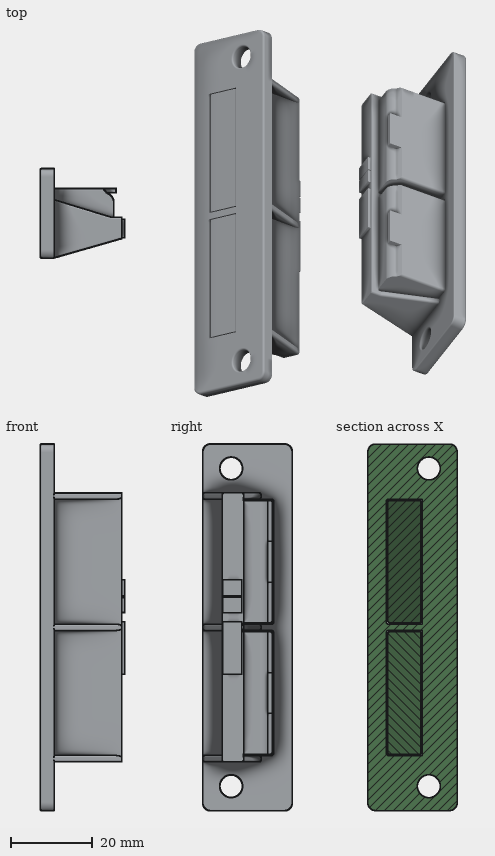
import cadquery as cq

plate_thickness = 3.5
plate_width = 22.0
plate_height = 89.86
plate_corner_radius = 2.0
plate_front_fillet = 0.5
plate_rear_fillet = 0.3

screw_hole_diameter = 5.5
screw_hole_y = -4.0
screw_hole_z = 38.9
screw_hole_edge_fillet = 0.4

bay_pitch = 32.15
rib_thickness = 1.6
rib_edge_fillet = 0.5
bay_rear_x = 20.0
bay_wall_y = -6.2
bay_rear_top_y = -0.95
rib_root_low_y = -plate_width / 2
rib_root_high_y = 3.4
rib_slope_end_x = 17.4

opening_gap = 0.25
opening_length = bay_pitch - rib_thickness
insert_length = opening_length - 2 * opening_gap
insert_low_y = -2.05
insert_high_y = 6.13
insert_rear_x = 18.05
insert_round_start = (insert_rear_x, 3.1)
insert_round_middle = (17.5, 4.2)
insert_round_end = (16.3, 5.0)
insert_high_end_x = 15.4
insert_corner_radius = 0.6
insert_front_chamfer = 0.7

lip_front_x = 14.8
lip_rear_x = 18.6
lip_low_y = 5.0
lip_length = 10.0

pad_height = 0.77
pad_low_y = -6.03
pad_high_y = -1.4
pad_spans = [(7.7, 11.7), (3.6, 7.35), (-11.5, 1.4)]

bay_centres = [-bay_pitch / 2, bay_pitch / 2]
rib_centres = [-bay_pitch, 0, bay_pitch]


def block(x_range, y_range, z_range):
    """Box spanning the given (low, high) ranges along X, Y and Z."""
    sizes = [high - low for low, high in (x_range, y_range, z_range)]
    corner = (x_range[0], y_range[0], z_range[0])
    return cq.Workplane("XY").box(*sizes, centered=False).translate(corner)


def make_plate():
    """Face plate with rounded corners and softened front and rear rims."""
    plate = (
        cq.Workplane("YZ")
        .rect(plate_width, plate_height)
        .extrude(plate_thickness)
        .edges("|X")
        .fillet(plate_corner_radius)
    )
    plate = plate.faces("<X").edges().fillet(plate_front_fillet)
    return plate.faces(">X").edges().fillet(plate_rear_fillet)


def cut_screw_holes(plate):
    """Two through holes with rounded edges on both faces of the plate."""
    centres = [(screw_hole_y, -screw_hole_z), (screw_hole_y, screw_hole_z)]
    drills = (
        cq.Workplane("YZ")
        .pushPoints(centres)
        .circle(screw_hole_diameter / 2)
        .extrude(plate_thickness)
    )
    plate = plate.cut(drills)
    for y, z in centres:
        near_hole = cq.selectors.BoxSelector(
            (-plate_thickness, y - screw_hole_diameter, z - screw_hole_diameter),
            (2 * plate_thickness, y + screw_hole_diameter, z + screw_hole_diameter),
        )
        rims = plate.faces("<X or >X").edges("%CIRCLE").edges(near_hole)
        plate = rims.fillet(screw_hole_edge_fillet)
    return plate


def make_rib(z):
    """Gusset centred at height z, with rounded edges along its low and high sides."""
    root_x = plate_thickness - plate_rear_fillet
    rib = (
        cq.Workplane("XY")
        .workplane(offset=z - rib_thickness / 2)
        .moveTo(root_x, rib_root_low_y)
        .lineTo(bay_rear_x, bay_wall_y)
        .lineTo(bay_rear_x, bay_rear_top_y)
        .lineTo(rib_slope_end_x, bay_rear_top_y)
        .lineTo(root_x, rib_root_high_y)
        .close()
        .extrude(rib_thickness)
    )
    low_z = z - rib_thickness
    high_z = z + rib_thickness
    low_slope = cq.selectors.BoxSelector(
        (root_x, rib_root_low_y, low_z),
        (bay_rear_x, bay_wall_y, high_z),
    )
    high_slope = cq.selectors.BoxSelector(
        (root_x, bay_rear_top_y - rib_edge_fillet, low_z),
        (bay_rear_x, rib_root_high_y, high_z),
    )
    rib = rib.edges(low_slope).edges("not |Z").fillet(rib_edge_fillet)
    return rib.edges(high_slope).edges("not |Z").fillet(rib_edge_fillet)


def make_insert(z):
    """Bar with a chamfered front edge, rounded rear and a short snap lip, centred at height z."""
    bar = (
        cq.Workplane("XY")
        .workplane(offset=z - insert_length / 2)
        .moveTo(0, insert_low_y)
        .lineTo(insert_rear_x, insert_low_y)
        .lineTo(*insert_round_start)
        .threePointArc(insert_round_middle, insert_round_end)
        .lineTo(insert_high_end_x, insert_high_y)
        .lineTo(0, insert_high_y)
        .close()
        .extrude(insert_length)
    )
    bar = bar.faces("<X").edges(">Y").chamfer(insert_front_chamfer)
    bar = bar.faces(">Y").edges("|X").fillet(insert_corner_radius)
    lip = block(
        (lip_front_x, lip_rear_x),
        (lip_low_y, insert_high_y),
        (z - lip_length / 2, z + lip_length / 2),
    )
    return bar.union(lip)


def make_opening(z):
    """Plate opening that leaves an even gap around the insert centred at height z."""
    opening = block(
        (0, plate_thickness),
        (insert_low_y - opening_gap, insert_high_y + opening_gap),
        (z - opening_length / 2, z + opening_length / 2),
    )
    return opening.edges("|X and >Y").fillet(insert_corner_radius)


def make_bay_wall():
    """Thick wall behind the plate, with a floor that the inserts rest on and a step behind them."""
    wall = block(
        (plate_thickness - plate_rear_fillet, bay_rear_x),
        (bay_wall_y, bay_rear_top_y),
        (-bay_pitch, bay_pitch),
    )
    insert_space = block((0, insert_rear_x), (insert_low_y, insert_high_y), (-bay_pitch, bay_pitch))
    return wall.cut(insert_space)


def make_pad(low_z, high_z):
    """Raised pad on the rear of the bays."""
    return block(
        (bay_rear_x, bay_rear_x + pad_height),
        (pad_low_y, pad_high_y),
        (low_z, high_z),
    )


def make_housing():
    """Plate with its holes and openings, bay wall, ribs and rear pads as one body."""
    housing = cut_screw_holes(make_plate())
    housing = housing.union(make_bay_wall())
    for z in bay_centres:
        housing = housing.cut(make_opening(z))
    for z in rib_centres:
        housing = housing.union(make_rib(z))
    for low_z, high_z in pad_spans:
        housing = housing.union(make_pad(low_z, high_z))
    return housing


housing = make_housing()
inserts = [make_insert(z) for z in bay_centres]
result = cq.Compound.makeCompound([housing.val(), *[insert.val() for insert in inserts]])